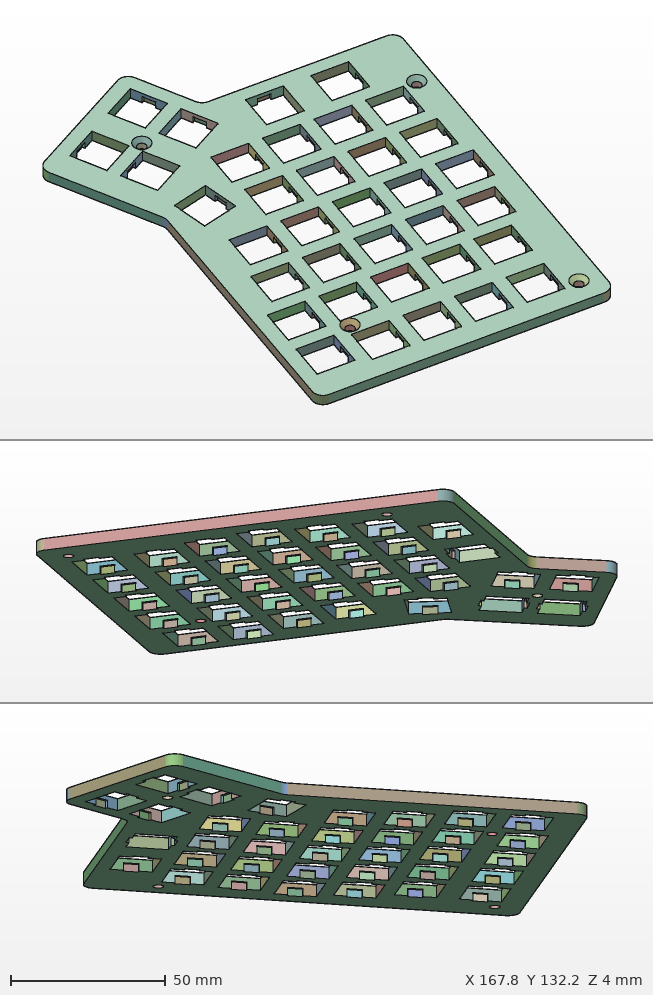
import cadquery as cq
import math


overall_width = 167.8
overall_height = 132.2
thickness = 4.0
main_width = 144.0
main_height = 109.7
corner_radius = 4.0

window_size = 14.0
clip_lip = 1.5
clip_width = 5.0
clip_depth = 1.0
quarter_turn = 90

finger_columns = [(91.5, 4), (93.3, 4), (96.0, 5), (93.3, 5), (88.8, 5)]

first_column_x = 12.0
column_span = 95.3
key_pitch = column_span / len(finger_columns)
tall_key_pitch = 24.2
wide_key_shift = key_pitch / 8
outer_key_y = 81.9

thumb_angle = 30
thumb_side_margin = 12.5
thumb_top_margin = 12.4
thumb_bottom_margin = 17.5
thumb_overlap = 23.5
thumb_left = -key_pitch - thumb_side_margin
thumb_bottom = -tall_key_pitch - thumb_bottom_margin
thumb_cos = math.cos(math.radians(thumb_angle))
thumb_sin = math.sin(math.radians(thumb_angle))

rounding_x = thumb_left + corner_radius
upper_rounding_y = thumb_top_margin - corner_radius
lower_rounding_y = thumb_bottom + corner_radius

plate_left = main_width - overall_width
plate_front = main_height - overall_height
thumb_key_x = plate_left + corner_radius - rounding_x * thumb_cos + upper_rounding_y * thumb_sin
thumb_key_y = plate_front + corner_radius - rounding_x * thumb_sin - lower_rounding_y * thumb_cos

single_key_x = 44.0
single_key_y = 14.1
single_key_angle = 15

screw_diameter = 3.4
screw_head_diameter = 6.5
countersink_angle = 90
screw_points = [(24.2, 103.3), (134.7, 101.5), (117.6, 26.5), (7.2, 11.2)]


def thumb_point(x, y):
    """Turn a point of the thumb frame into plate coordinates."""
    plate_x = thumb_key_x + x * thumb_cos - y * thumb_sin
    plate_y = thumb_key_y + x * thumb_sin + y * thumb_cos
    return plate_x, plate_y


def plate_blank():
    """Main rectangle joined to the tilted thumb block, with every corner rounded."""
    main = cq.Workplane("XY").rect(main_width, main_height, centered=False).extrude(thickness)
    corners = [
        thumb_point(thumb_left, thumb_bottom),
        thumb_point(thumb_overlap, thumb_bottom),
        thumb_point(thumb_overlap, thumb_top_margin),
        thumb_point(thumb_left, thumb_top_margin),
    ]
    thumb_block = cq.Workplane("XY").polyline(corners).close().extrude(thickness)
    return main.union(thumb_block).edges("|Z").fillet(corner_radius)


def switch_cutter(x, y, angle):
    """Square window with a clip notch below the lip on its two local Y sides."""
    window = cq.Workplane("XY").rect(window_size, window_size).extrude(thickness)
    notches = cq.Workplane("XY").rect(clip_width, window_size + 2 * clip_depth).extrude(thickness - clip_lip)
    cutter = window.union(notches)
    return cutter.rotate((0, 0, 0), (0, 0, 1), angle).translate((x, y, 0))


def finger_keys():
    """Places (x, y, angle) of the keys that sit square to the plate."""
    keys = [
        (first_column_x, outer_key_y, 0),
        (first_column_x, outer_key_y - tall_key_pitch, quarter_turn),
    ]
    for column, (top_y, count) in enumerate(finger_columns, start=1):
        x = first_column_x + column * key_pitch
        keys += [(x, top_y - row * key_pitch, 0) for row in range(count)]

    last_x = first_column_x + (len(finger_columns) + 1) * key_pitch
    top_y, count = finger_columns[-1]
    for row in range(count):
        shift = wide_key_shift if row < count - 1 else 0
        keys.append((last_x + shift, top_y - row * key_pitch, 0))
    return keys


def thumb_keys():
    """Places of the 2 x 2 thumb keys and the single key beside them."""
    keys = [(single_key_x, single_key_y, single_key_angle)]
    for column in range(2):
        upper_x, upper_y = thumb_point(-column * key_pitch, 0)
        lower_x, lower_y = thumb_point(-column * key_pitch, -tall_key_pitch)
        keys.append((upper_x, upper_y, thumb_angle))
        keys.append((lower_x, lower_y, thumb_angle + quarter_turn))
    return keys


result = plate_blank()
for key_x, key_y, key_angle in finger_keys() + thumb_keys():
    result = result.cut(switch_cutter(key_x, key_y, key_angle))

result = (
    result.faces(">Z").workplane(origin=(0, 0, thickness))
    .pushPoints(screw_points)
    .cskHole(screw_diameter, screw_head_diameter, countersink_angle)
)